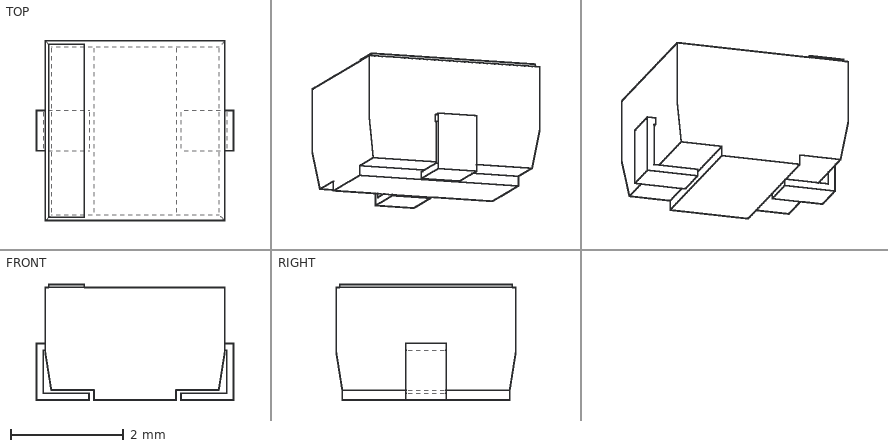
import cadquery as cq

overall_length = 3.51
overall_height = 2.06

mark_thickness = 0.055
mark_width = 0.64
mark_inset = 0.063

housing_side = 3.2
housing_top = overall_height - mark_thickness
taper_top = 0.86
taper_bottom = 0.175
taper_inset = 0.11
underside_side = housing_side - 2 * taper_inset
rib_width = 1.46

terminal_width = 0.72
terminal_height = 1.007
terminal_thickness = 0.123
foot_length = 0.94


def make_housing():
    block = (
        cq.Workplane("XY")
        .workplane(offset=taper_top)
        .rect(housing_side, housing_side)
        .extrude(housing_top - taper_top)
    )
    taper = (
        cq.Workplane("XY")
        .workplane(offset=taper_bottom)
        .rect(underside_side, underside_side)
        .workplane(offset=taper_top - taper_bottom)
        .rect(housing_side, housing_side)
        .loft(ruled=True)
    )
    rib = cq.Workplane("XY").rect(rib_width, underside_side).extrude(taper_bottom)
    return block.union(taper).union(rib)


def make_polarity_mark():
    center_x = -housing_side / 2 + mark_inset + mark_width / 2
    return (
        cq.Workplane("XY")
        .workplane(offset=housing_top)
        .center(center_x, 0)
        .rect(mark_width, housing_side - 2 * mark_inset)
        .extrude(mark_thickness)
    )


def make_terminal(side):
    """Bent terminal on the -X (side = -1) or +X (side = 1) end of the housing."""
    outer_x = side * overall_length / 2
    inner_x = outer_x - side * terminal_thickness
    wall_x = side * housing_side / 2
    foot_end_x = outer_x - side * foot_length
    lip_underside = terminal_height - terminal_thickness
    profile = [
        (outer_x, 0),
        (foot_end_x, 0),
        (foot_end_x, terminal_thickness),
        (inner_x, terminal_thickness),
        (inner_x, lip_underside),
        (wall_x, lip_underside),
        (wall_x, terminal_height),
        (outer_x, terminal_height),
    ]
    return (
        cq.Workplane("XZ")
        .polyline(profile)
        .close()
        .extrude(terminal_width / 2, both=True)
    )


housing = make_housing()
polarity_mark = make_polarity_mark()
terminals = [make_terminal(side) for side in (-1, 1)]

result = cq.Compound.makeCompound(
    [housing.val(), polarity_mark.val(), *[terminal.val() for terminal in terminals]]
)